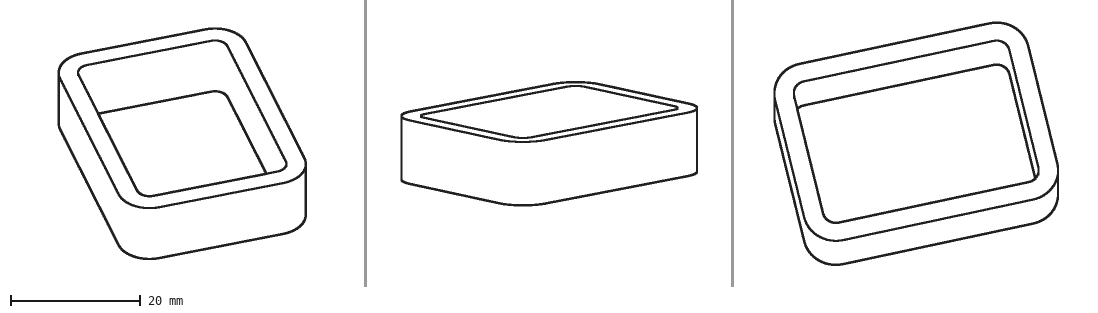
import cadquery as cq

length = 40.0
width = 30.0
height = 10.0

wall = 3.0
outer_radius = 5.0
inner_radius = outer_radius - wall


def rounded_block(size_x, size_y, corner_radius):
    """Block standing on Z = 0 with rounded vertical edges."""
    block = cq.Workplane("XY").box(size_x, size_y, height, centered=(True, True, False))
    return block.edges("|Z").fillet(corner_radius)


body = rounded_block(length, width, outer_radius)
opening = rounded_block(length - 2 * wall, width - 2 * wall, inner_radius)

result = body.cut(opening)